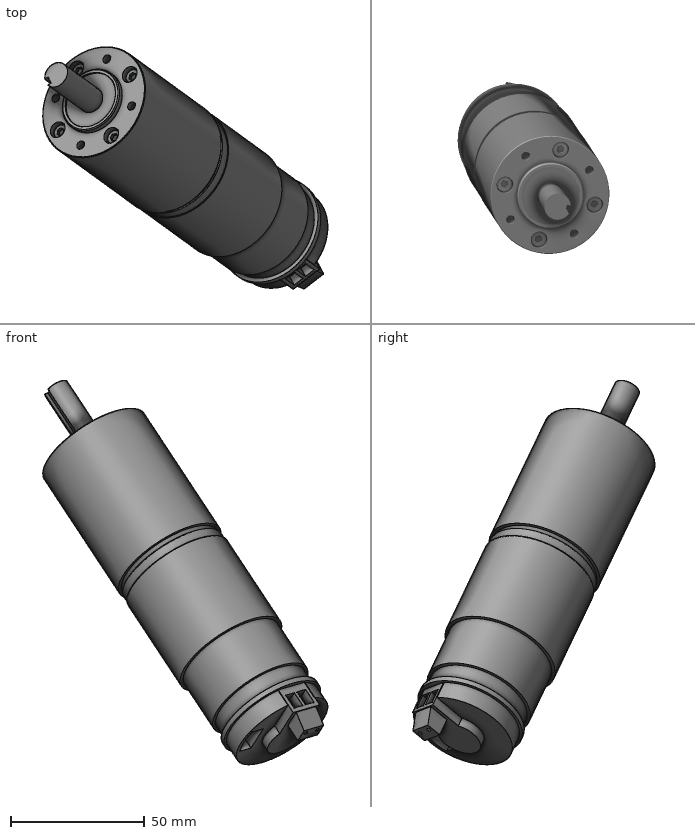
import cadquery as cq

twist_angle = -110.9
tilt_angle = 39.2
heading_angle = 144.0

shaft_diameter = 10.0
shaft_length = 27.6
keyway_width = 3.0
keyway_depth = 1.7
keyway_length = 20.5

gearbox_diameter = 45.0
gearbox_length = 56.0
face_chamfer = 0.3
spigot_diameter = 42.4
spigot_length = 2.0
hub_diameter = 25.0
hub_height = 2.5
hub_chamfer = 0.5
hub_recess_diameter = 22.0
hub_recess_depth = 0.7

bolt_circle_diameter = 35.0
fastener_count = 4
tapped_hole_angle = 45
tapped_hole_diameter = 3.3
tapped_hole_depth = 7.2
counterbore_diameter = 6.4
counterbore_depth = 4.3
screw_head_diameter = 5.5
screw_head_drop = 2.0
socket_sides = 6
socket_corner_diameter = 3.2
socket_depth = 1.5

front_ring_diameter = 43.7
front_ring_length = 3.8
can_diameter = 44.5
can_length = 39.2
rear_can_diameter = 41.8
rear_can_length = 21.5
neck_diameter = 39.2
neck_length = 6.8
collar_diameter = 42.4
collar_length = 2.0
cap_diameter = 40.1
cap_length = 7.2

bearing_boss_diameter = 17.4
connector_base_height = 3.8
pocket_wall = 1.5
pocket_inner_edge = 12.2
pocket_width = 12.2
pocket_depth = 5.8

connector_width = 12.9
connector_reach = 19.2
window_width = 4.2
window_bar = 1.3
window_length = 6.2
window_depth = 4.3
window_margin = 1.7
plug_width = 9.5
plug_length = 7.4
plug_inner_face = 10.4
plug_root_reach = 18.8
plug_tip_reach = 16.6
plug_hole_diameter = 1.5
plug_hole_depth = 2.9
plug_hole_reach = 14.5

gearbox_rear = -gearbox_length
motor_front = gearbox_rear - spigot_length
can_front = motor_front - front_ring_length
can_rear = can_front - can_length
rear_can_rear = can_rear - rear_can_length
neck_rear = rear_can_rear - neck_length
collar_rear = neck_rear - collar_length
cap_rear = collar_rear - cap_length
connector_rear = cap_rear - connector_base_height


def disc(diameter, front, length):
    """Cylinder on the motor axis reaching backwards from the level `front`."""
    return cq.Workplane("XY").workplane(offset=front).circle(diameter / 2).extrude(-length)


def block(x_range, y_range, z_range):
    """Box between the given limits."""
    (x0, x1), (y0, y1), (z0, z1) = x_range, y_range, z_range
    return cq.Workplane("XY").box(x1 - x0, y1 - y0, z1 - z0, centered=False).translate((x0, y0, z0))


def place(body):
    """Turn an upright body into its final attitude."""
    origin = (0, 0, 0)
    body = body.rotate(origin, (0, 0, 1), twist_angle)
    body = body.rotate(origin, (0, 1, 0), tilt_angle)
    return body.rotate(origin, (0, 0, 1), heading_angle)


def bolt_circle(start_angle):
    """Workplane on the mounting face with one point per fastener."""
    return cq.Workplane("XY").polarArray(bolt_circle_diameter / 2, start_angle, 360, fastener_count)


def keyway():
    """Slot towards -X, open at the shaft tip and rounded at its inner end."""
    floor = shaft_diameter / 2 - keyway_depth
    end_centre = shaft_length - keyway_length + keyway_width / 2
    straight = block(
        (-shaft_diameter, -floor),
        (-keyway_width / 2, keyway_width / 2),
        (end_centre, shaft_length),
    )
    round_end = (
        cq.Workplane("YZ", origin=(-floor, 0, end_centre))
        .circle(keyway_width / 2)
        .extrude(-shaft_diameter)
    )
    return straight.union(round_end)


def gearbox():
    """Housing, hub, shaft and the rear spigot that meets the motor."""
    housing = disc(gearbox_diameter, 0, gearbox_length).faces(">Z").chamfer(face_chamfer)
    hub = disc(hub_diameter, hub_height, hub_height).faces(">Z").chamfer(hub_chamfer)
    body = housing.union(hub).union(disc(spigot_diameter, gearbox_rear, spigot_length))
    body = body.cut(disc(hub_recess_diameter, hub_height, hub_recess_depth))
    body = body.union(disc(shaft_diameter, shaft_length, shaft_length)).cut(keyway())

    tapped_holes = bolt_circle(tapped_hole_angle).circle(tapped_hole_diameter / 2)
    body = body.cut(tapped_holes.extrude(-tapped_hole_depth))
    body = body.cut(bolt_circle(0).circle(counterbore_diameter / 2).extrude(-counterbore_depth))
    screws = (
        bolt_circle(0)
        .circle(screw_head_diameter / 2)
        .extrude(screw_head_drop - counterbore_depth)
        .translate((0, 0, -screw_head_drop))
    )
    sockets = (
        bolt_circle(0)
        .polygon(socket_sides, socket_corner_diameter)
        .extrude(-socket_depth)
        .translate((0, 0, -screw_head_drop))
    )
    return body.union(screws).cut(sockets)


def side_pocket():
    """Recess in the rear face between a flat side and the rim of the cap."""
    pocket_floor = cap_rear + pocket_depth
    inside_of_rim = disc(cap_diameter - 2 * pocket_wall, pocket_floor, pocket_depth)
    strip = block(
        (-cap_diameter, -pocket_inner_edge),
        (-pocket_width / 2, pocket_width / 2),
        (cap_rear, pocket_floor),
    )
    return inside_of_rim.intersect(strip)


def connector_base():
    """Housing of the connector, from the axis out to its flat face on the -Y side."""
    half_width = connector_width / 2
    base = block((-half_width, half_width), (-connector_reach, 0), (connector_rear, collar_rear))
    window_spacing = window_width + window_bar
    window_rear = connector_rear + window_margin
    for centre in (-window_spacing / 2, window_spacing / 2):
        base = base.cut(
            block(
                (centre - window_width / 2, centre + window_width / 2),
                (-connector_reach, window_depth - connector_reach),
                (window_rear, window_rear + window_length),
            )
        )
    return base


def plug():
    """Tapered plug behind the connector, with one wire hole per contact."""
    plug_rear = connector_rear - plug_length
    body = (
        cq.Workplane("YZ")
        .polyline(
            [
                (-plug_inner_face, connector_rear),
                (-plug_root_reach, connector_rear),
                (-plug_tip_reach, plug_rear),
                (-plug_inner_face, plug_rear),
            ]
        )
        .close()
        .extrude(plug_width / 2, both=True)
    )
    hole_offset = (window_width + window_bar) / 2
    holes = (
        cq.Workplane("XY", origin=(0, -plug_hole_reach, plug_rear))
        .pushPoints([(-hole_offset, 0), (hole_offset, 0)])
        .circle(plug_hole_diameter / 2)
        .extrude(plug_hole_depth)
    )
    return body.cut(holes)


def motor():
    """Stepped can, collar and cap, with the bearing boss and connector at the rear."""
    body = disc(front_ring_diameter, motor_front, front_ring_length)
    body = body.union(disc(can_diameter, can_front, can_length))
    body = body.union(disc(rear_can_diameter, can_rear, rear_can_length))
    body = body.union(disc(neck_diameter, rear_can_rear, neck_length))
    body = body.union(disc(collar_diameter, neck_rear, collar_length))

    half_width = connector_width / 2
    seat = block((-half_width, half_width), (-cap_diameter, 0), (cap_rear, collar_rear))
    body = body.union(disc(cap_diameter, collar_rear, cap_length).cut(side_pocket()).cut(seat))
    body = body.union(connector_base()).union(plug())
    return body.union(disc(bearing_boss_diameter, cap_rear, connector_base_height))


result = cq.Compound.makeCompound([place(gearbox()).val(), place(motor()).val()])